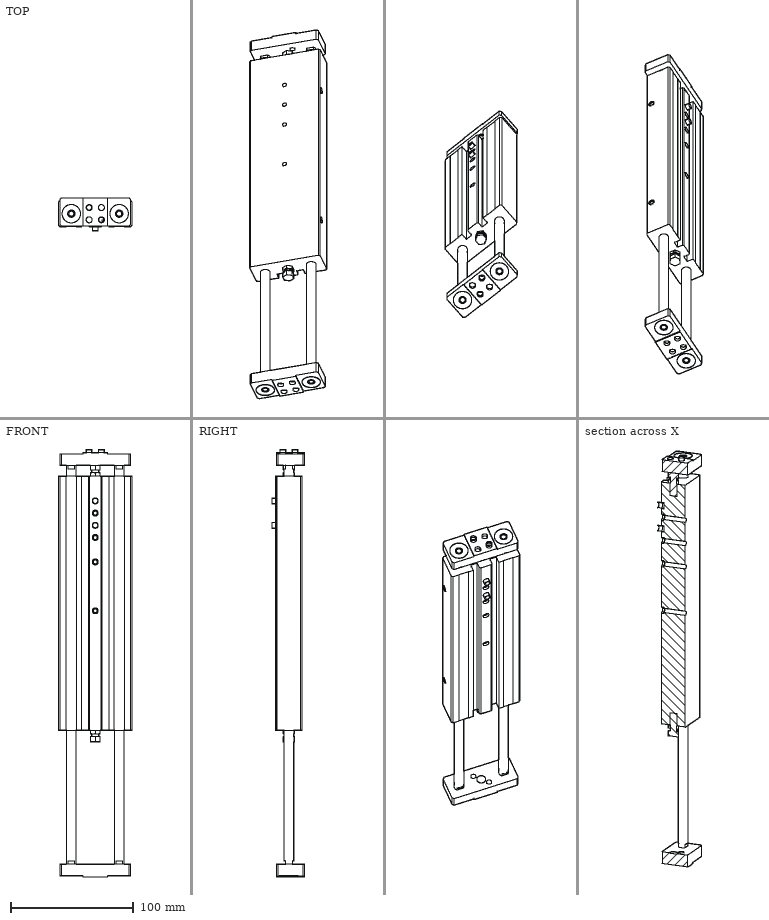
import cadquery as cq
import math


TOTAL_HEIGHT = 349.5
PLATE_THICKNESS = 9.5
BOSS_HEIGHT = 1.0
PLATE_SLEEVE_RISE = 2.5
LOWER_GAP = 109.5
HOUSING_LENGTH = 208.0

lower_plate_inner_z = BOSS_HEIGHT + PLATE_THICKNESS
housing_bottom_z = lower_plate_inner_z + LOWER_GAP
housing_top_z = housing_bottom_z + HOUSING_LENGTH
upper_plate_outer_z = TOTAL_HEIGHT - PLATE_SLEEVE_RISE
upper_plate_inner_z = upper_plate_outer_z - lower_plate_inner_z

ROD_DIAMETER = 8.0
ROD_X = 19.5
ROD_FLATS_WIDTH = 6.0
ROD_FLATS_LENGTH = 2.8

PLATE_WIDTH = 58.0
PLATE_BACK_Y = 13.0
PLATE_FRONT_Y = -10.0
PLATE_CHAMFER = 1.5
BOSS_WIDTH = 20.3
ROD_SEAT_DIAMETER = 15.0
ROD_SEAT_DEPTH = 0.5
ROD_SOCKET_DIAMETER = 6.0
ROD_SOCKET_BORE = 4.2
ROD_SOCKET_DEPTH = 0.52
ROD_SOCKET_BORE_DEPTH = 0.7
STOP_SEAT_DIAMETER = 7.5
STOP_SEAT_DEPTH = 0.5

HOLE_ROW_LENGTH = 89.8
HOLE_ROW_PITCHES = 9
HOLE_PITCH = HOLE_ROW_LENGTH / HOLE_ROW_PITCHES

MOUNT_OFFSET = HOLE_PITCH / 2
SLEEVE_DIAMETER = 5.0
SLEEVE_BORE = 4.2
SLEEVE_LENGTH = 5.2
PLATE_SLEEVE_SEAT = SLEEVE_LENGTH - PLATE_SLEEVE_RISE
MOUNT_HOLE_DIAMETER = 4.2
BLIND_HOLE_DIAMETER = 5.0

HOUSING_WIDTH = 60.0
HOUSING_DEPTH = 21.5
HOUSING_CHAMFER = 1.22
SLOT_OUTER_X = 11.2
SLOT_INNER_X = 5.5
SLOT_DEPTH = 5.5
RIB_CHAMFER = 1.0
RELIEF_OUTER_X = 23.8
RELIEF_INNER_X = 15.5
RELIEF_DEPTH = 0.17

housing_front_y = -HOUSING_DEPTH / 2

FIRST_HOLE_DROP = 20.3
SLEEVE_STEPS = (0, 2)
OPEN_HOLE_STEPS = (1, 3, 5, HOLE_ROW_PITCHES)
CROSS_HOLE_DIAMETER = 3.25
HOUSING_SLEEVE_RISE = 3.0
HOUSING_SLEEVE_SEAT = SLEEVE_LENGTH - HOUSING_SLEEVE_RISE

PORT_Y = 6.0
PORT_SPACING = 130.5
PORT_DIAMETER = 4.2
PORT_RIM_DIAMETER = 5.0
PORT_RIM_DEPTH = 1.0
PORT_DEPTH = 5.2

HEX_SIDES = 6
HEX_FLATS = 8.0
HEX_CHAMFER = 0.5
NUT_HEIGHT = 2.8
SCREW_DIAMETER = 6.0
SCREW_SEAT = 10.5
HEAD_START = 5.0
LOWER_SCREW_RISE = 9.5
upper_screw_rise = upper_plate_inner_z - housing_top_z


def cylinder(diameter, height, base, axis=(0, 0, 1)):
    """Cylinder that starts at the point `base` and runs along `axis`."""
    solid = cq.Solid.makeCylinder(diameter / 2, height, cq.Vector(*base), cq.Vector(*axis))
    return cq.Workplane(obj=solid)


def block(x_range, y_range, z_range):
    """Box between the given limits."""
    sizes = [high - low for low, high in (x_range, y_range, z_range)]
    corner = (x_range[0], y_range[0], z_range[0])
    return cq.Workplane("XY").box(*sizes, centered=False).translate(corner)


def hex_bar(bottom, top, chamfered_end):
    """Hexagonal bar on the Z axis, corners toward -Y and +Y, its corner tips chamfered at one end."""
    height = top - bottom
    half_side_angle = 180 / HEX_SIDES
    across_corners = HEX_FLATS / math.cos(math.radians(half_side_angle))
    bar = cq.Workplane("XY").workplane(offset=bottom).polygon(HEX_SIDES, across_corners).extrude(height)
    bar = bar.rotate((0, 0, 0), (0, 0, 1), half_side_angle)
    envelope = cylinder(across_corners, height, (0, 0, bottom)).faces(chamfered_end).chamfer(HEX_CHAMFER)
    return bar.intersect(envelope)


def end_plate():
    """Lower end plate, outer side down."""
    half_width = PLATE_WIDTH / 2
    y_range = (PLATE_FRONT_Y, PLATE_BACK_Y)
    plate = block((-half_width, half_width), y_range, (BOSS_HEIGHT, lower_plate_inner_z))
    plate = plate.edges("|Z").chamfer(PLATE_CHAMFER)
    plate = plate.union(block((-BOSS_WIDTH / 2, BOSS_WIDTH / 2), y_range, (0, lower_plate_inner_z)))

    for x in (-ROD_X, ROD_X):
        outer_face = (x, 0, BOSS_HEIGHT)
        plate = plate.cut(cylinder(ROD_SEAT_DIAMETER, ROD_SEAT_DEPTH, outer_face))
        plate = plate.cut(cylinder(ROD_SOCKET_DIAMETER, ROD_SOCKET_DEPTH, outer_face))
        plate = plate.cut(cylinder(ROD_SOCKET_BORE, ROD_SOCKET_BORE_DEPTH, outer_face))

    for side in (-1, 1):
        x = side * MOUNT_OFFSET
        plate = plate.cut(cylinder(MOUNT_HOLE_DIAMETER, lower_plate_inner_z, (x, -x, 0)))
        plate = plate.cut(cylinder(SLEEVE_DIAMETER, PLATE_SLEEVE_SEAT, (x, -x, 0)))
        plate = plate.cut(cylinder(BLIND_HOLE_DIAMETER, PLATE_SLEEVE_SEAT, (x, x, 0)))
    return plate


def rod(x):
    """Rod between the plates, with a pair of spanner flats next to each plate."""
    length = upper_plate_inner_z - lower_plate_inner_z
    bar = cylinder(ROD_DIAMETER, length, (x, 0, lower_plate_inner_z))
    x_range = (x - ROD_DIAMETER, x + ROD_DIAMETER)
    flats = (
        (lower_plate_inner_z, lower_plate_inner_z + ROD_FLATS_LENGTH),
        (upper_plate_inner_z - ROD_FLATS_LENGTH, upper_plate_inner_z),
    )
    for z_range in flats:
        bar = bar.cut(block(x_range, (ROD_FLATS_WIDTH / 2, ROD_DIAMETER), z_range))
        bar = bar.cut(block(x_range, (-ROD_DIAMETER, -ROD_FLATS_WIDTH / 2), z_range))
    return bar


def make_yoke():
    """Both rods and both end plates, moving as one part."""
    lower_plate = end_plate()
    upper_plate = end_plate().mirror("XY").translate((0, 0, upper_plate_outer_z))
    stop_seat_floor = (0, 0, lower_plate_inner_z - STOP_SEAT_DEPTH)
    stop_seat = cylinder(STOP_SEAT_DIAMETER, STOP_SEAT_DEPTH, stop_seat_floor)
    yoke = lower_plate.cut(stop_seat)
    for x in (-ROD_X, ROD_X):
        yoke = yoke.union(rod(x))
    return yoke.union(upper_plate)


def front_hole_z(step):
    return housing_top_z - FIRST_HOLE_DROP - step * HOLE_PITCH


def housing_body():
    """Chamfered bar with two slots and two shallow reliefs along its front."""
    half_width = HOUSING_WIDTH / 2
    z_range = (housing_bottom_z, housing_top_z)
    body = block((-half_width, half_width), (housing_front_y, -housing_front_y), z_range)
    body = body.edges("|Z").chamfer(HOUSING_CHAMFER)
    for side in (-1, 1):
        slot = (
            cq.Workplane("XY")
            .workplane(offset=housing_bottom_z)
            .moveTo(side * SLOT_OUTER_X, housing_front_y)
            .lineTo(side * SLOT_OUTER_X, housing_front_y + SLOT_DEPTH)
            .lineTo(side * SLOT_INNER_X, housing_front_y + SLOT_DEPTH)
            .lineTo(side * SLOT_INNER_X, housing_front_y + RIB_CHAMFER)
            .lineTo(side * (SLOT_INNER_X - RIB_CHAMFER), housing_front_y)
            .close()
            .extrude(HOUSING_LENGTH)
        )
        x_range = sorted((side * RELIEF_INNER_X, side * RELIEF_OUTER_X))
        relief = block(x_range, (housing_front_y, housing_front_y + RELIEF_DEPTH), z_range)
        body = body.cut(slot).cut(relief)
    return body


def make_housing():
    body = housing_body()

    for x in (-ROD_X, ROD_X):
        body = body.cut(cylinder(ROD_DIAMETER, HOUSING_LENGTH, (x, 0, housing_bottom_z)))

    body = body.cut(cylinder(SCREW_DIAMETER, SCREW_SEAT, (0, 0, housing_bottom_z)))
    body = body.cut(cylinder(SCREW_DIAMETER, SCREW_SEAT, (0, 0, housing_top_z - SCREW_SEAT)))

    for step in SLEEVE_STEPS + OPEN_HOLE_STEPS:
        start = (0, housing_front_y, front_hole_z(step))
        body = body.cut(cylinder(SLEEVE_DIAMETER, HOUSING_SLEEVE_SEAT, start, (0, 1, 0)))
    for step in OPEN_HOLE_STEPS:
        start = (0, housing_front_y, front_hole_z(step))
        body = body.cut(cylinder(CROSS_HOLE_DIAMETER, HOUSING_DEPTH, start, (0, 1, 0)))

    middle_z = (housing_bottom_z + housing_top_z) / 2
    for side in (-1, 1):
        start = (-HOUSING_WIDTH / 2, PORT_Y, middle_z + side * PORT_SPACING / 2)
        body = body.cut(cylinder(PORT_RIM_DIAMETER, PORT_RIM_DEPTH, start, (1, 0, 0)))
        body = body.cut(cylinder(PORT_DIAMETER, PORT_DEPTH, start, (1, 0, 0)))
    return body


def make_sleeve(base, axis):
    """Centring sleeve standing on the floor of its seat."""
    outside = cylinder(SLEEVE_DIAMETER, SLEEVE_LENGTH, base, axis)
    return outside.cut(cylinder(SLEEVE_BORE, SLEEVE_LENGTH, base, axis))


def make_sleeves():
    sleeves = []
    for step in SLEEVE_STEPS:
        base = (0, housing_front_y + HOUSING_SLEEVE_SEAT, front_hole_z(step))
        sleeves.append(make_sleeve(base, (0, -1, 0)))
    for x in (-MOUNT_OFFSET, MOUNT_OFFSET):
        base = (x, -x, upper_plate_outer_z - PLATE_SLEEVE_SEAT)
        sleeves.append(make_sleeve(base, (0, 0, 1)))
    return sleeves


def make_stop_screw(rise):
    """Hex-headed stop screw pointing up, with the face of the housing at Z = 0."""
    shank = cylinder(SCREW_DIAMETER, SCREW_SEAT + HEAD_START, (0, 0, -SCREW_SEAT))
    return shank.union(hex_bar(HEAD_START, rise, "<Z"))


def make_lock_nut():
    """Nut around the stop screw, resting on the housing face at Z = 0."""
    return hex_bar(0, NUT_HEIGHT, ">Z").cut(cylinder(SCREW_DIAMETER, NUT_HEIGHT, (0, 0, 0)))


def at_housing_top(part):
    return part.translate((0, 0, housing_top_z))


def at_housing_bottom(part):
    return part.mirror("XY").translate((0, 0, housing_bottom_z))


yoke = make_yoke()
housing = make_housing()
sleeves = make_sleeves()
stop_screws = [
    at_housing_top(make_stop_screw(upper_screw_rise)),
    at_housing_bottom(make_stop_screw(LOWER_SCREW_RISE)),
]
lock_nuts = [at_housing_top(make_lock_nut()), at_housing_bottom(make_lock_nut())]

bodies = [yoke, housing, *sleeves, *stop_screws, *lock_nuts]
result = cq.Compound.makeCompound([body.solids().val() for body in bodies])